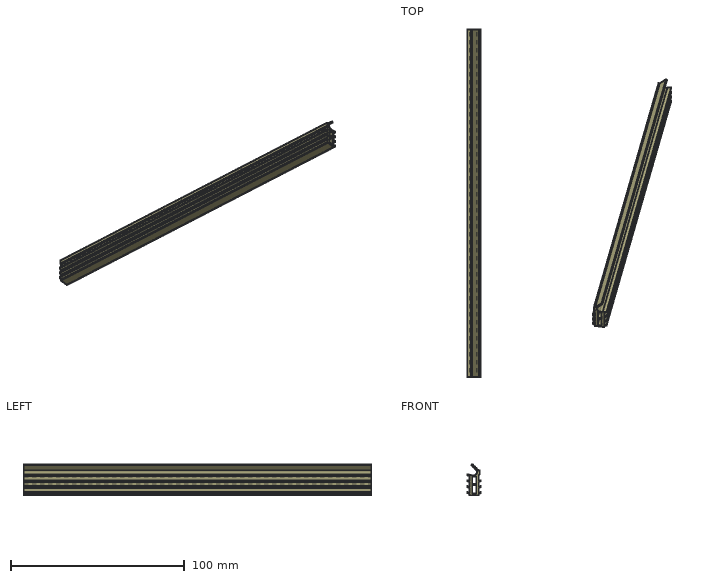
import cadquery as cq

length = 200.0
width = 8.0
height = 18.0

body_left = 1.5
body_right = 6.8
body_top = 11.5
wall = 1.5
floor = 1.2
roof = 1.0
web_bottom = 5.8
web_thickness = 0.8

barb_pitch = 3.5
barb_rise = 0.5
barb_root_thickness = 1.2
barb_tip_thickness = 0.5
lowest_barb_tip = 2.0
left_barb_count = 4
right_barb_count = 3

neck_left = 5.5
neck_right = 7.5
neck_bottom = body_top - roof
neck_waist = 12.2
shoulder = 14.5
neck_foot = 4.2
neck_hollow = (5.5, 13.0)
lip_tip_left = 2.5
lip_tip_bevel = 0.5
lip_root_right = 6.5


def extrude(outline):
    """Extrude a closed profile over the full length, centred on Y = 0."""
    return outline.extrude(length / 2, both=True)


def polygon(points):
    return extrude(cq.Workplane("XZ").polyline(points).close())


def rectangle(left, right, bottom, top):
    return polygon([(left, bottom), (right, bottom), (right, top), (left, top)])


def barb(root_x, tip_x, tip_top):
    """Tapered barb from inside the wall to its raised outer tip."""
    root_top = tip_top - barb_rise
    return polygon([
        (root_x, root_top),
        (tip_x, tip_top),
        (tip_x, tip_top - barb_tip_thickness),
        (root_x, root_top - barb_root_thickness),
    ])


def neck_and_lip():
    """Neck with a hollow rounded inner side, carrying the thin lip that leans left."""
    outline = (
        cq.Workplane("XZ")
        .moveTo(body_right, neck_bottom)
        .lineTo(body_right, body_top)
        .lineTo(neck_right, neck_waist)
        .lineTo(neck_right, shoulder)
        .lineTo(lip_root_right, shoulder)
        .lineTo(lip_tip_left + lip_tip_bevel, height)
        .lineTo(lip_tip_left, height - lip_tip_bevel)
        .lineTo(neck_left, shoulder)
        .threePointArc(neck_hollow, (neck_foot, body_top))
        .lineTo(neck_foot, neck_bottom)
        .close()
    )
    return extrude(outline)


strip = rectangle(body_left, body_right, 0, body_top)
strip = strip.union(neck_and_lip())

for index in range(left_barb_count):
    tip_top = lowest_barb_tip + index * barb_pitch
    strip = strip.union(barb(body_left + wall / 2, 0, tip_top))

for index in range(right_barb_count):
    tip_top = lowest_barb_tip + index * barb_pitch
    strip = strip.union(barb(body_right - wall / 2, width, tip_top))

chamber_left = body_left + wall
chamber_right = body_right - wall
web_top = web_bottom + web_thickness
strip = strip.cut(rectangle(chamber_left, chamber_right, floor, web_bottom))
strip = strip.cut(rectangle(chamber_left, chamber_right, web_top, body_top - roof))

result = strip